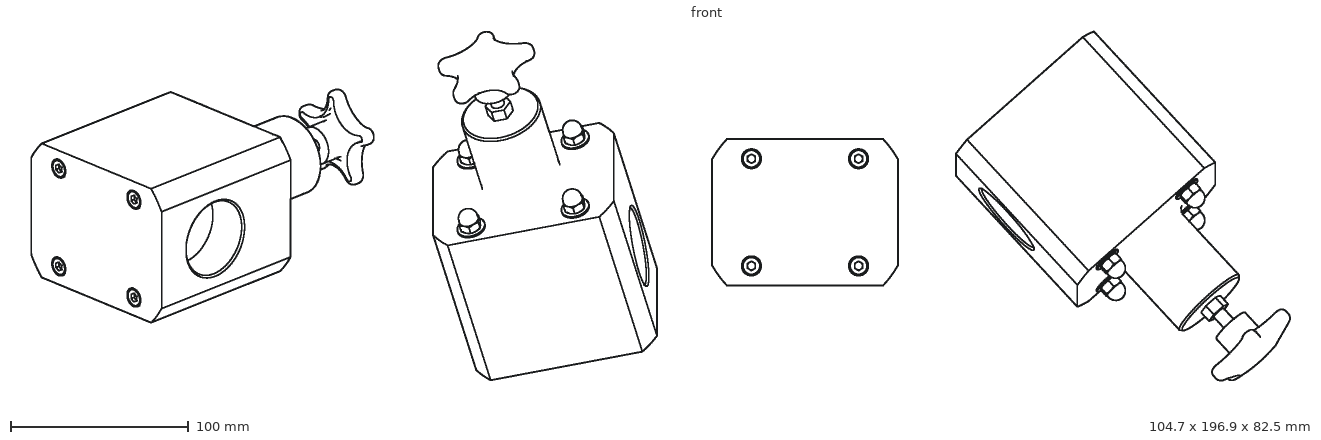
import cadquery as cq
import math

overall_length = 196.9

block_width = 104.7
block_height = 82.5
block_length = 101.8
corner_radius = 60.2

port_diameter = 44.0
port_mouth_diameter = 46.3
port_depth = 24.2
port_y = 42.3

bolt_offset = 30.1
recess_diameter = 11.0
recess_depth = 5.0
head_diameter = 9.5
socket_flats = 4.5
socket_depth = 2.4
socket_tip_angle = 120.0
washer_diameter = 16.0
washer_thickness = 1.0
cap_nut_flats = 11.0
cap_nut_hex_height = 5.3
cap_nut_collar_height = 1.2
cap_nut_chamfer = 0.5

bonnet_diameter = 45.7
bonnet_end = 155.5
bonnet_root_radius = 6.3
bonnet_chamfer = 1.2
lock_nut_flats = 12.6
lock_nut_end = 162.2
spindle_diameter = 7.5

hub_diameter = 22.0
hub_start = 172.3
star_start = 185.0
lobe_count = 5
lobe_center_radius = 24.0
lobe_radius = 4.7
star_flat_radius = 11.0
star_dome_drop = 4.0
star_edge_radius = 3.2
pocket_wall = 2.8
pocket_depth = 4.3
pocket_floor_radius = 1.2
hub_root_radius = 2.8


def y_plane(y):
    """Sketch plane across the spindle axis, with sketch x = -X, sketch y = Z and normal +Y."""
    return cq.Workplane(cq.Plane(origin=(0, y, 0), xDir=(-1, 0, 0), normal=(0, 1, 0)))


def y_cylinder(diameter, start, end):
    return y_plane(start).circle(diameter / 2).extrude(end - start)


def y_hexagon(flats, start, end, turn=0):
    """Hexagonal bar with corners toward +X and -X, before turning it about Y."""
    corner_diameter = flats / math.cos(math.pi / 6)
    bar = y_plane(start).polygon(6, corner_diameter).extrude(end - start)
    return bar.rotate((0, 0, 0), (0, 1, 0), turn)


def revolved(profile):
    """Turn a profile drawn as (radius, Y) about the Y axis."""
    return profile.close().revolve(360, (0, 0, 0), (0, 1, 0))


def make_block():
    block = cq.Workplane("XY").box(block_width, block_length, block_height)
    block = block.translate((0, block_length / 2, 0))
    return block.intersect(y_cylinder(2 * corner_radius, 0, block_length))


def make_port():
    """Cutter for the port on the -X face, with a 45 degree chamfer at its mouth."""
    mouth_chamfer = (port_mouth_diameter - port_diameter) / 2
    face = cq.Workplane("YZ", origin=(-block_width / 2, port_y, 0))
    bore = face.circle(port_diameter / 2).extrude(port_depth)
    mouth = face.circle(port_mouth_diameter / 2).extrude(mouth_chamfer, taper=45)
    return bore.union(mouth)


def make_screw_recess():
    """Cutter for the gap around a flush screw head and for its hexagon socket."""
    gap = y_plane(0).circle(recess_diameter / 2).circle(head_diameter / 2).extrude(recess_depth)
    socket = y_hexagon(socket_flats, 0, socket_depth, turn=30)
    tip_radius = socket_flats / 2
    tip_height = tip_radius / math.tan(math.radians(socket_tip_angle / 2))
    tip = revolved(
        cq.Workplane("XY")
        .moveTo(0, socket_depth)
        .lineTo(tip_radius, socket_depth)
        .lineTo(0, socket_depth + tip_height)
    )
    return gap.union(socket).union(tip)


def make_cap_nut():
    """Washer and domed nut standing on the back of the block."""
    hex_start = block_length + washer_thickness
    hex_end = hex_start + cap_nut_hex_height
    collar_end = hex_end + cap_nut_collar_height
    dome_radius = cap_nut_flats / 2
    corner_radius_of_nut = dome_radius / math.cos(math.pi / 6)

    washer = y_cylinder(washer_diameter, block_length, hex_start)
    chamfered_bar = revolved(
        cq.Workplane("XY")
        .moveTo(0, hex_start)
        .lineTo(dome_radius, hex_start)
        .lineTo(corner_radius_of_nut, hex_start + cap_nut_chamfer)
        .lineTo(corner_radius_of_nut, hex_end - cap_nut_chamfer)
        .lineTo(dome_radius, hex_end)
        .lineTo(0, hex_end)
    )
    hexagon = y_hexagon(cap_nut_flats, hex_start, hex_end, turn=30).intersect(chamfered_bar)
    middle = math.sqrt(0.5) * dome_radius
    dome = revolved(
        cq.Workplane("XY")
        .moveTo(0, hex_end)
        .lineTo(dome_radius, hex_end)
        .lineTo(dome_radius, collar_end)
        .threePointArc((middle, collar_end + middle), (0, collar_end + dome_radius))
    )
    return washer.union(hexagon).union(dome)


def make_bonnet():
    """Round bonnet with a concave root on the block and a chamfered end."""
    radius = bonnet_diameter / 2
    root_middle = bonnet_root_radius * (1 - math.sqrt(0.5))
    return revolved(
        cq.Workplane("XY")
        .moveTo(0, block_length)
        .lineTo(radius + bonnet_root_radius, block_length)
        .threePointArc(
            (radius + root_middle, block_length + root_middle),
            (radius, block_length + bonnet_root_radius),
        )
        .lineTo(radius, bonnet_end - bonnet_chamfer)
        .lineTo(radius - bonnet_chamfer, bonnet_end)
        .lineTo(0, bonnet_end)
    )


def polar(radius, angle, side=0.0):
    """Point at a distance along a direction, then sideways from it."""
    return (
        radius * math.cos(angle) - side * math.sin(angle),
        radius * math.sin(angle) + side * math.cos(angle),
    )


def star_prism(tip_radius, start, end):
    """Star with half-round lobe tips joined by tangent hollows, one lobe pointing toward +Z."""
    half_pitch = math.pi / lobe_count
    hollow_center = lobe_center_radius / math.cos(half_pitch)
    hollow_radius = lobe_center_radius * math.tan(half_pitch) - tip_radius
    tip = lobe_center_radius + tip_radius
    valley = hollow_center - hollow_radius

    first_angle = math.pi / 2
    outline = y_plane(start).moveTo(*polar(lobe_center_radius, first_angle, -tip_radius))
    for lobe in range(lobe_count):
        angle = first_angle + 2 * half_pitch * lobe
        next_angle = angle + 2 * half_pitch
        outline = outline.threePointArc(
            polar(tip, angle),
            polar(lobe_center_radius, angle, tip_radius),
        )
        outline = outline.threePointArc(
            polar(valley, angle + half_pitch),
            polar(lobe_center_radius, next_angle, -tip_radius),
        )
    return outline.close().extrude(end - start)


def make_star_dome():
    """Ball whose cap falls by star_dome_drop from the central flat to the lobe tips."""
    tip = lobe_center_radius + lobe_radius
    center_depth = (tip**2 - star_flat_radius**2 - star_dome_drop**2) / (2 * star_dome_drop)
    ball_radius = math.hypot(star_flat_radius, center_depth)
    ball = cq.Workplane("XY").sphere(ball_radius)
    return ball.translate((0, overall_length - center_depth, 0))


def make_hub(end):
    """Round hub ending at the given Y, where a concave root widens it."""
    radius = hub_diameter / 2
    root_middle = hub_root_radius * (1 - math.sqrt(0.5))
    return revolved(
        cq.Workplane("XY")
        .moveTo(0, hub_start)
        .lineTo(radius, hub_start)
        .lineTo(radius, end - hub_root_radius)
        .threePointArc((radius + root_middle, end - root_middle), (radius + hub_root_radius, end))
        .lineTo(0, end)
    )


def make_knob():
    """Rounded star with a domed top, hollow underneath around its round hub."""
    star = star_prism(lobe_radius, star_start, overall_length).intersect(make_star_dome())
    star = star.edges("not |Y").edges("not %LINE").fillet(star_edge_radius)
    pocket_end = star_start + pocket_depth
    pocket = star_prism(lobe_radius - pocket_wall, star_start, pocket_end)
    pocket = pocket.faces(">Y").edges().fillet(pocket_floor_radius)
    return star.cut(pocket).union(make_hub(pocket_end))


block = make_block()
port = make_port()
block = block.cut(port).cut(port.mirror("YZ"))

screw_recess = make_screw_recess()
cap_nut = make_cap_nut()
for x in (-bolt_offset, bolt_offset):
    for z in (-bolt_offset, bolt_offset):
        block = block.cut(screw_recess.translate((x, 0, z)))
        block = block.union(cap_nut.translate((x, 0, z)))

result = (
    block.union(make_bonnet())
    .union(y_hexagon(lock_nut_flats, bonnet_end, lock_nut_end))
    .union(y_cylinder(spindle_diameter, lock_nut_end, hub_start))
    .union(make_knob())
)